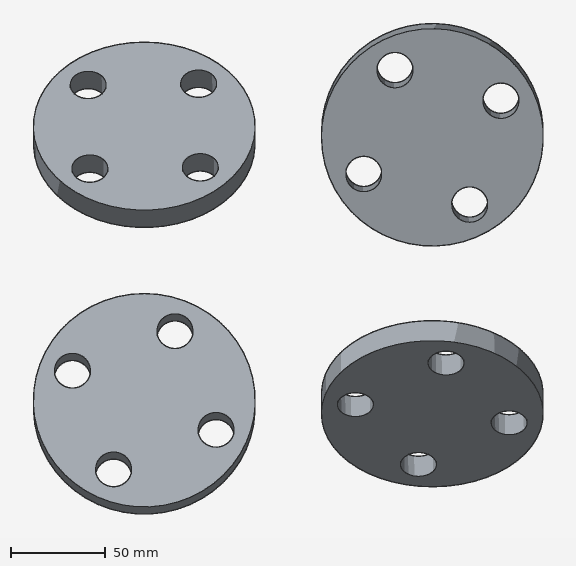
import cadquery as cq

flange_diameter = 117.3
flange_thickness = 14.2
bolt_circle_diameter = 82.6
bolt_hole_diameter = 19.0
bolt_hole_count = 4


def flange_disc():
    """Disc centred on the Z axis, standing on the XY plane."""
    return cq.Workplane("XY").circle(flange_diameter / 2).extrude(flange_thickness)


def bolt_holes():
    """Cylinders for the bolt holes, the first one on the +X axis."""
    return (
        cq.Workplane("XY")
        .polarArray(bolt_circle_diameter / 2, 0, 360, bolt_hole_count)
        .circle(bolt_hole_diameter / 2)
        .extrude(flange_thickness)
    )


result = flange_disc().cut(bolt_holes())